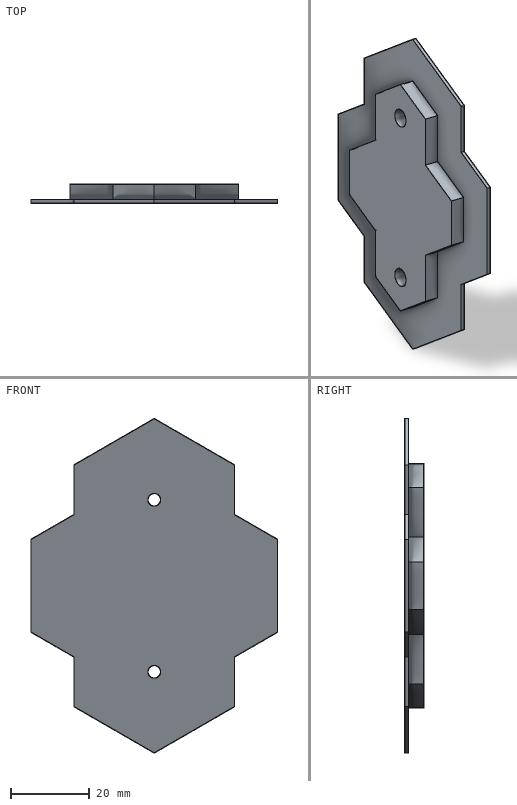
import cadquery as cq
import math

pitch = 22.0
plate_height = 85.6
plate_thickness = 1.0
block_height = 3.9
block_inset = 0.4
hole_diameter = 3.2
bore_diameter = 4.7
hole_offset = 22.0

apothem = pitch / 2
end_center_z = pitch * math.cos(math.radians(30))
end_corner_radius = plate_height / 2 - end_center_z
plate_margin = end_corner_radius * math.cos(math.radians(30)) - apothem


def cluster_layer(margin, start_y, depth):
    """Outline of the packed hexagons moved outward by margin, extruded toward +Y."""
    slope = math.tan(math.radians(30))
    tip_z = end_center_z + (apothem + margin) / math.cos(math.radians(30))
    shoulder_x = apothem + margin
    shoulder_z = tip_z - shoulder_x * slope
    outer_x = pitch + margin
    outer_z = (apothem + margin) * slope
    notch_z = outer_z + (outer_x - shoulder_x) * slope

    right_side = [(shoulder_x, shoulder_z), (shoulder_x, notch_z), (outer_x, outer_z)]
    right_side += [(x, -z) for x, z in reversed(right_side)]
    left_side = [(-x, -z) for x, z in right_side]
    outline = [(0, tip_z)] + right_side + [(0, -tip_z)] + left_side
    return cq.Workplane("XZ", origin=(0, start_y, 0)).polyline(outline).close().extrude(-depth)


def hole_pair(diameter, start_y, depth):
    """Two round cutters on the vertical centre line, running toward +Y."""
    return (
        cq.Workplane("XZ", origin=(0, start_y, 0))
        .pushPoints([(0, -hole_offset), (0, hole_offset)])
        .circle(diameter / 2)
        .extrude(-depth)
    )


plate = cluster_layer(plate_margin, 0, plate_thickness)
block = cluster_layer(-block_inset, plate_thickness, block_height)
holes = hole_pair(hole_diameter, 0, plate_thickness)
bores = hole_pair(bore_diameter, plate_thickness, block_height)

result = plate.union(block).cut(holes).cut(bores)